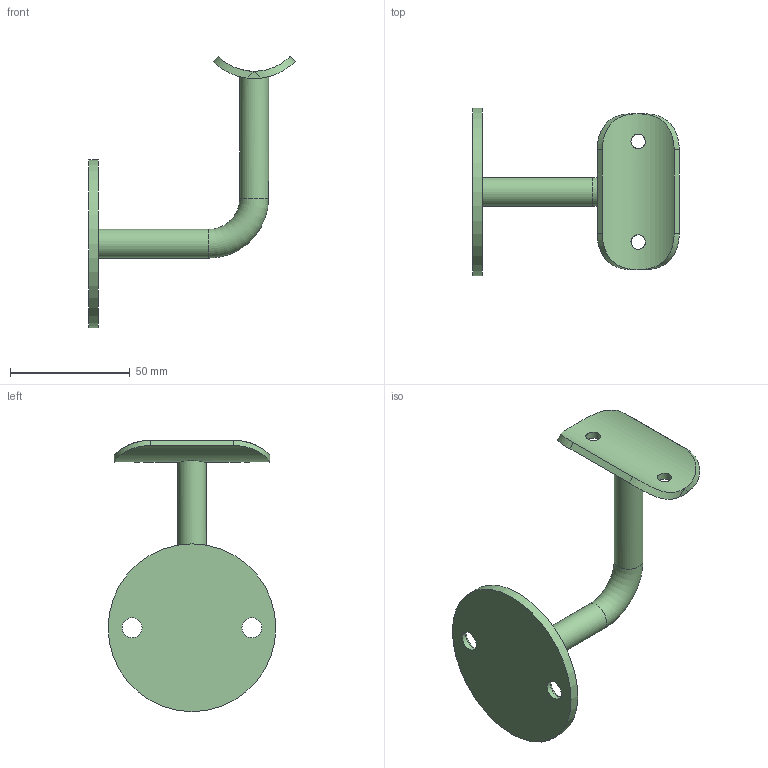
import cadquery as cq
import math

PLATE_DIAMETER = 70.0
PLATE_THICKNESS = 4.0
PLATE_HOLE_DIAMETER = 8.3
PLATE_HOLE_SPACING = 50.0
COUNTERSINK_DIAMETER = 12.3
COUNTERSINK_ANGLE = 90.0

ARM_DIAMETER = 12.0
ARM_REACH = 69.0
ARM_BEND_RADIUS = 19.0

RAIL_RADIUS = 21.2
SADDLE_THICKNESS = 3.0
SADDLE_LENGTH = 65.0
SADDLE_HALF_ANGLE = math.radians(45.0)
SADDLE_BOTTOM_Z = 69.0
SADDLE_CORNER_RADIUS = 15.0
SADDLE_HOLE_DIAMETER = 6.0
SADDLE_HOLE_SPACING = 42.0

SADDLE_OUTER_RADIUS = RAIL_RADIUS + SADDLE_THICKNESS
RAIL_AXIS_Z = SADDLE_BOTTOM_Z + SADDLE_OUTER_RADIUS


def make_plate():
    half_spacing = PLATE_HOLE_SPACING / 2
    return (
        cq.Workplane("YZ")
        .circle(PLATE_DIAMETER / 2)
        .extrude(PLATE_THICKNESS)
        .faces(">X")
        .workplane(origin=(PLATE_THICKNESS, 0, 0))
        .pushPoints([(-half_spacing, 0), (half_spacing, 0)])
        .cskHole(PLATE_HOLE_DIAMETER, COUNTERSINK_DIAMETER, COUNTERSINK_ANGLE)
    )


def make_arm():
    top_z = SADDLE_BOTTOM_Z + SADDLE_THICKNESS / 2
    bend_start_x = ARM_REACH - ARM_BEND_RADIUS
    path = (
        cq.Workplane("XZ")
        .moveTo(PLATE_THICKNESS, 0)
        .lineTo(bend_start_x, 0)
        .tangentArcPoint((ARM_REACH, ARM_BEND_RADIUS), relative=False)
        .lineTo(ARM_REACH, top_z)
    )
    return (
        cq.Workplane("YZ", origin=(PLATE_THICKNESS, 0, 0))
        .circle(ARM_DIAMETER / 2)
        .sweep(path)
    )


def make_saddle_blank(side):
    """Block bounded by one radial side face of the saddle, with rounded corners.

    side is -1 for the face nearer the wall plate and +1 for the far face.
    """
    outward = cq.Vector(side * math.sin(SADDLE_HALF_ANGLE), 0, -math.cos(SADDLE_HALF_ANGLE))
    inward_from_side = cq.Vector(-side * math.cos(SADDLE_HALF_ANGLE), 0, -math.sin(SADDLE_HALF_ANGLE))
    side_plane = cq.Plane(
        origin=(ARM_REACH, 0, RAIL_AXIS_Z), xDir=inward_from_side, normal=outward
    )
    return (
        cq.Workplane(side_plane)
        .center(SADDLE_OUTER_RADIUS, 0)
        .rect(2 * SADDLE_OUTER_RADIUS, SADDLE_LENGTH)
        .extrude(2 * SADDLE_OUTER_RADIUS)
        .edges(cq.selectors.ParallelDirSelector(outward))
        .fillet(SADDLE_CORNER_RADIUS)
    )


def make_saddle():
    tube = (
        cq.Workplane("XZ", origin=(ARM_REACH, 0, RAIL_AXIS_Z))
        .circle(SADDLE_OUTER_RADIUS)
        .circle(RAIL_RADIUS)
        .extrude(SADDLE_LENGTH / 2, both=True)
    )
    half_spacing = SADDLE_HOLE_SPACING / 2
    holes = (
        cq.Workplane("XY", origin=(ARM_REACH, 0, 0))
        .pushPoints([(0, -half_spacing), (0, half_spacing)])
        .circle(SADDLE_HOLE_DIAMETER / 2)
        .extrude(RAIL_AXIS_Z)
    )
    near_blank = make_saddle_blank(-1)
    far_blank = make_saddle_blank(1)
    return tube.intersect(near_blank).intersect(far_blank).cut(holes)


result = make_plate().union(make_arm()).union(make_saddle())